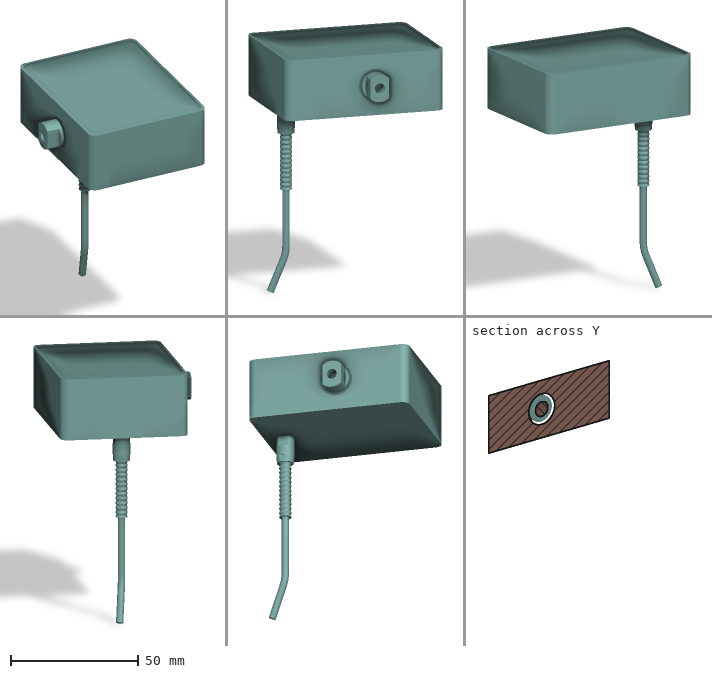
import cadquery as cq
import math

overall_height = 99.55
housing_width = 65.4
housing_depth = 50.8
housing_height = 24.5
corner_radius = 3.1
rim_width = 1.0
rim_height = 0.4
front_y = -housing_depth / 2

fitting_x = 3.7
fitting_z = housing_height / 2
fitting_reach = 6.9
fitting_diameter = 11.0
fitting_flat_width = 7.7
flange_gap = 0.4
flange_thickness = 1.2
neck_diameter = 6.4
fitting_bore_diameter = 4.1
fitting_bore_depth = 5.0
fitting_recess_diameter = 12.7
fitting_recess_depth = 0.5

plug_x = -24.6
barrel_diameter = 7.1
barrel_length = 8.0
barrel_flat_width = 6.0
barrel_flat_length = 3.8
nut_end_diameter = 6.6
nut_length = 2.6
nut_flat_width = 6.4
relief_diameter = 4.8
relief_length = 22.7
nut_end_z = -(barrel_length + nut_length)
relief_end_z = nut_end_z - relief_length

groove_count = 12
groove_pitch = relief_length / groove_count
groove_width = 1.5
groove_depth = 0.2
slot_width = 0.8
slot_depth = 0.35
slot_arcs = [(163, 220), (224, 280), (324, 495)]

cable_diameter = 2.9
bend_start_z = -56.3
bend_angle = 21.9
bend_radius = 14.6
bend_heading = 163.0

tilt = math.radians(bend_angle)
bend_drop = bend_radius * math.sin(tilt)
bend_shift = bend_radius * (1 - math.cos(tilt))
lowest_z = housing_height - overall_height
tip_centre_z = lowest_z + cable_diameter / 2 * math.sin(tilt)
tip_length = (bend_start_z - bend_drop - tip_centre_z) / math.cos(tilt)


def front_cylinder(diameter, y_outer, y_inner):
    """Cylinder along Y on the fitting axis."""
    return (
        cq.Workplane("XZ", origin=(fitting_x, y_inner, fitting_z))
        .circle(diameter / 2)
        .extrude(y_inner - y_outer)
    )


def make_housing():
    """Block with a shallow recess inside its top rim and a round one for the fitting."""
    block = (
        cq.Workplane("XY")
        .rect(housing_width, housing_depth)
        .extrude(housing_height)
        .edges("|Z")
        .fillet(corner_radius)
    )
    top_recess = (
        cq.Workplane("XY", origin=(0, 0, housing_height - rim_height))
        .rect(housing_width - 2 * rim_width, housing_depth - 2 * rim_width)
        .extrude(rim_height)
        .edges("|Z")
        .fillet(corner_radius)
    )
    fitting_recess = front_cylinder(
        fitting_recess_diameter, front_y, front_y + fitting_recess_depth
    )
    return block.cut(top_recess).cut(fitting_recess)


def make_fitting():
    """Neck, round flange and flat-sided head with a blind bore."""
    end_y = front_y - fitting_reach
    flange_back_y = front_y - flange_gap
    flange_front_y = flange_back_y - flange_thickness
    neck = front_cylinder(neck_diameter, flange_back_y, front_y + fitting_recess_depth)
    flange = front_cylinder(fitting_diameter, flange_front_y, flange_back_y)
    flats = cq.Workplane("XY").box(fitting_flat_width, 2 * fitting_reach, fitting_diameter)
    flats = flats.translate((fitting_x, front_y, fitting_z))
    head = front_cylinder(fitting_diameter, end_y, flange_front_y).intersect(flats)
    bore = front_cylinder(fitting_bore_diameter, end_y, end_y + fitting_bore_depth)
    return neck.union(flange).union(head).cut(bore)


def make_barrel():
    """Cylinder with two opposite flats at its upper end."""
    barrel = cq.Workplane("XY").circle(barrel_diameter / 2).extrude(-barrel_length)
    flats = (
        cq.Workplane("XY")
        .rect(barrel_diameter, barrel_flat_width)
        .extrude(-barrel_flat_length)
    )
    below_flats = (
        cq.Workplane("XY", origin=(0, 0, -barrel_flat_length))
        .rect(barrel_diameter, barrel_diameter)
        .extrude(barrel_flat_length - barrel_length)
    )
    return barrel.intersect(flats.union(below_flats))


def make_nut():
    """Tapered ring with two opposite flats."""
    cone = (
        cq.Workplane("XY", origin=(0, 0, -barrel_length))
        .circle(barrel_diameter / 2)
        .workplane(offset=-nut_length)
        .circle(nut_end_diameter / 2)
        .loft()
    )
    flats = (
        cq.Workplane("XY", origin=(0, 0, -barrel_length))
        .rect(barrel_diameter, nut_flat_width)
        .extrude(-nut_length)
    )
    return cone.intersect(flats)


def groove_cutter(z, width, depth, start_angle, sweep_angle):
    """Ring, or part of one, with an arc-shaped floor, swept around the plug axis."""
    radius = relief_diameter / 2
    return (
        cq.Workplane("XZ")
        .moveTo(radius, z - width / 2)
        .threePointArc((radius - depth, z), (radius, z + width / 2))
        .close()
        .revolve(sweep_angle, (0, 0), (0, 1))
        .rotate((0, 0, 0), (0, 0, 1), start_angle)
    )


def make_strain_relief():
    """Cylinder with evenly spaced ring grooves and slots."""
    relief = (
        cq.Workplane("XY", origin=(0, 0, nut_end_z))
        .circle(relief_diameter / 2)
        .extrude(-relief_length)
    )
    for index in range(groove_count):
        z = nut_end_z - (index + 0.5) * groove_pitch
        relief = relief.cut(groove_cutter(z, groove_width, groove_depth, 0, 360))
        for start_angle, end_angle in slot_arcs:
            sweep_angle = end_angle - start_angle
            relief = relief.cut(groove_cutter(z, slot_width, slot_depth, start_angle, sweep_angle))
    return relief


def make_plug():
    """Barrel, nut and strain relief as one solid, bored for the cable."""
    cable_hole = (
        cq.Workplane("XY", origin=(0, 0, relief_end_z))
        .circle(cable_diameter / 2)
        .extrude(relief_length)
    )
    plug = make_barrel().union(make_nut()).union(make_strain_relief()).cut(cable_hole)
    return plug.translate((plug_x, 0, 0))


def make_cable():
    """Cable drawn in the XZ plane, leaning toward +X, then turned to its heading."""
    bend_end_z = bend_start_z - bend_drop
    path = (
        cq.Workplane("XZ")
        .moveTo(0, nut_end_z)
        .lineTo(0, bend_start_z)
        .threePointArc(
            (
                bend_radius * (1 - math.cos(tilt / 2)),
                bend_start_z - bend_radius * math.sin(tilt / 2),
            ),
            (bend_shift, bend_end_z),
        )
        .lineTo(bend_shift + tip_length * math.sin(tilt), tip_centre_z)
    )
    cable = (
        cq.Workplane("XY", origin=(0, 0, nut_end_z))
        .circle(cable_diameter / 2)
        .sweep(path)
    )
    return cable.rotate((0, 0, 0), (0, 0, 1), bend_heading).translate((plug_x, 0, 0))


housing = make_housing()
fitting = make_fitting()
plug = make_plug()
cable = make_cable()

result = cq.Compound.makeCompound([housing.val(), fitting.val(), plug.val(), cable.val()])